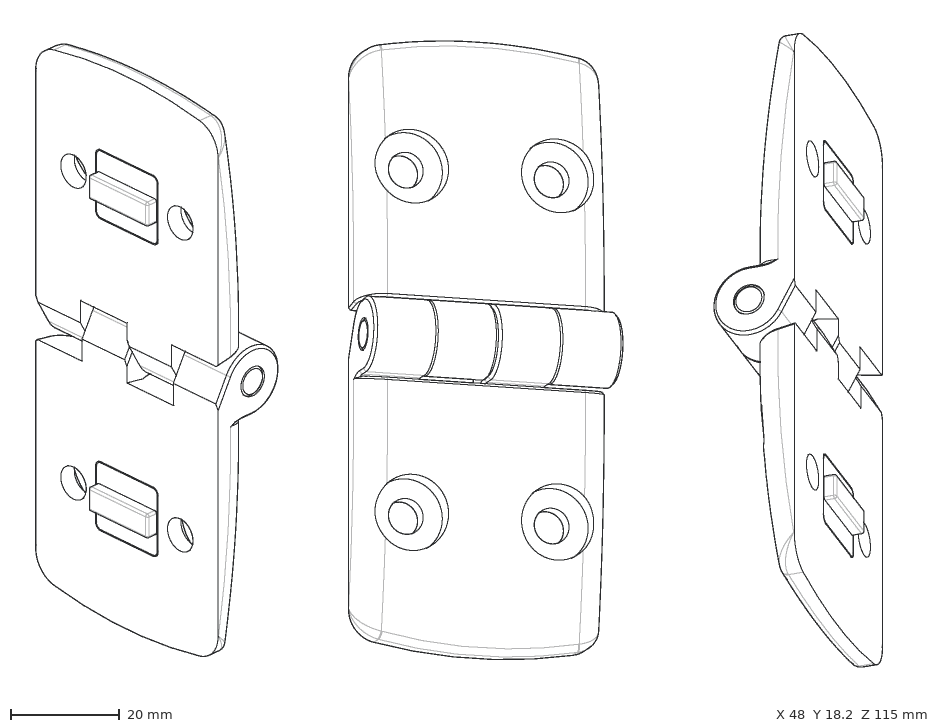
import cadquery as cq
import math


LENGTH = 115.0
WIDTH = 48.0
END_DROP = 2.9
CORNER_RADIUS = 6.0

THICKNESS = 8.2
CROWN_RADIUS = 250.7
CROWN_Z = 10.8
CROWN_SWEEP = 30.0
SIDE_ROUND = 5.0
END_ROUND = 1.5

KNUCKLE_COUNT = 4
KNUCKLE_RADIUS = 7.0
KNUCKLE_CHAMFER = 0.6
KNUCKLE_CLEARANCE = 0.2
PIN_Y = 8.9
PIN_RADIUS = 3.0
PIN_CHAMFER = 0.5
WEB_Z = 1.6
GAP_Z = 6.2
GAP_SLOPE = 0.17
GAP_CHAMFER = 0.5
ROOT_Z = 8.0
NECK_Y = 6.5

FIXING_Z = 32.4
HOLE_X = 14.0
HOLE_DIAMETER = 6.7
COUNTERBORE_DIAMETER = 14.0
COUNTERBORE_FLOOR = 3.5

PLUG_WIDTH = 16.0
PLUG_HEIGHT = 13.9
PLUG_DEPTH = 2.3
PLUG_CORNER = 1.2
PLUG_CLEARANCE = 0.2
TAB_WIDTH = 15.5
TAB_HEIGHT = 5.0
TAB_REACH = 2.3
TAB_ROUND = 0.5

HALF_LENGTH = LENGTH / 2
HALF_WIDTH = WIDTH / 2
KNUCKLE_PITCH = WIDTH / KNUCKLE_COUNT
REACH = 2 * THICKNESS
EXTRA = 1.2
LEAF_TURNS = (0, 180)


def crowned_bar():
    """Long bar with the rounded cross-section carried around the crown arc."""
    depth = 2 * REACH
    arc_centre_y = THICKNESS - CROWN_RADIUS
    return (
        cq.Workplane("XY", origin=(0, THICKNESS, CROWN_Z))
        .moveTo(-HALF_WIDTH, -depth)
        .lineTo(HALF_WIDTH, -depth)
        .lineTo(HALF_WIDTH, -SIDE_ROUND)
        .radiusArc((HALF_WIDTH - SIDE_ROUND, 0), -SIDE_ROUND)
        .lineTo(SIDE_ROUND - HALF_WIDTH, 0)
        .radiusArc((-HALF_WIDTH, -SIDE_ROUND), -SIDE_ROUND)
        .close()
        .revolve(CROWN_SWEEP, (-1.2, -CROWN_RADIUS, 0), (1.2, -CROWN_RADIUS, 0))
        .rotate((-1.2, arc_centre_y, CROWN_Z), (1.2, arc_centre_y, CROWN_Z), -CROWN_SWEEP / 2)
    )


def plan_outline():
    """Outline of the plate on the mounting face, with arched end and rounded corners."""
    side_z = HALF_LENGTH - END_DROP
    return (
        cq.Workplane("XZ")
        .moveTo(-HALF_WIDTH, 0)
        .lineTo(-HALF_WIDTH, side_z)
        .threePointArc((0, HALF_LENGTH), (HALF_WIDTH, side_z))
        .lineTo(HALF_WIDTH, 0)
        .close()
        .extrude(-REACH)
        .edges("|Y").edges(">Z")
        .fillet(CORNER_RADIUS)
    )


def plate():
    """Crowned plate, ending in the sloped face that clears the other leaf's knuckles."""
    body = plan_outline().intersect(crowned_bar())
    below_gap = (
        cq.Workplane("YZ", origin=(-HALF_WIDTH - EXTRA, 0, 0))
        .polyline([
            (-EXTRA, -EXTRA),
            (-EXTRA, GAP_Z - GAP_SLOPE * EXTRA),
            (REACH, GAP_Z + GAP_SLOPE * REACH),
            (REACH, -EXTRA),
        ])
        .close()
        .extrude(WIDTH + 2 * EXTRA)
    )
    body = body.cut(below_gap)
    body = body.faces("<X").edges("<Z").chamfer(GAP_CHAMFER)
    end_rim = cq.selectors.BoxSelector(
        (-WIDTH, EXTRA, HALF_LENGTH - CORNER_RADIUS),
        (WIDTH, THICKNESS, LENGTH),
    )
    return body.edges(end_rim).edges("not |Y").fillet(END_ROUND)


def knuckle(left_x):
    """One barrel and its web, chamfered around the barrel on the left side.

    The web's lower face runs from the mounting face tangentially into the barrel.
    """
    width = KNUCKLE_PITCH - KNUCKLE_CLEARANCE
    centre_distance = math.hypot(PIN_Y, WEB_Z)
    tangent_length = math.sqrt(centre_distance**2 - KNUCKLE_RADIUS**2)
    angle = math.atan2(WEB_Z, PIN_Y) + math.asin(KNUCKLE_RADIUS / centre_distance)
    tangent_y = tangent_length * math.cos(angle)
    tangent_z = WEB_Z - tangent_length * math.sin(angle)
    return (
        cq.Workplane("YZ", origin=(left_x, 0, 0))
        .moveTo(0, WEB_Z)
        .lineTo(tangent_y, tangent_z)
        .threePointArc((PIN_Y + KNUCKLE_RADIUS, 0), (PIN_Y, KNUCKLE_RADIUS))
        .lineTo(NECK_Y, KNUCKLE_RADIUS)
        .tangentArcPoint((THICKNESS - SIDE_ROUND, ROOT_Z), relative=False)
        .lineTo(0, ROOT_Z)
        .close()
        .extrude(width)
        .faces("<X").edges("%CIRCLE")
        .chamfer(KNUCKLE_CHAMFER)
    )


def plug_block(width, height, corner):
    """Block set into the mounting face, with rounded corners."""
    return (
        cq.Workplane("XZ", origin=(0, 0, FIXING_Z))
        .rect(width, height)
        .extrude(-PLUG_DEPTH)
        .edges("|Y")
        .fillet(corner)
    )


def pin_rod():
    """Cylinder as long as the leaf is wide, on the hinge axis."""
    return (
        cq.Workplane("YZ", origin=(-HALF_WIDTH, PIN_Y, 0))
        .circle(PIN_RADIUS)
        .extrude(WIDTH)
    )


def screw_bores(diameter, start_y):
    """Pair of cylinders from the depth start_y out through the back of the leaf."""
    return (
        cq.Workplane("XZ", origin=(0, start_y, FIXING_Z))
        .pushPoints([(-HOLE_X, 0), (HOLE_X, 0)])
        .circle(diameter / 2)
        .extrude(-REACH)
    )


def make_leaf():
    """Upper leaf with its knuckles in the first and third places from the left."""
    body = plate()
    for place in range(0, KNUCKLE_COUNT, 2):
        body = body.union(knuckle(-HALF_WIDTH + place * KNUCKLE_PITCH))
    pocket = plug_block(
        PLUG_WIDTH + 2 * PLUG_CLEARANCE,
        PLUG_HEIGHT + 2 * PLUG_CLEARANCE,
        PLUG_CORNER + PLUG_CLEARANCE,
    )
    return (
        body.cut(pin_rod())
        .cut(screw_bores(HOLE_DIAMETER, -EXTRA))
        .cut(screw_bores(COUNTERBORE_DIAMETER, COUNTERBORE_FLOOR))
        .cut(pocket)
    )


def make_plug():
    """Plug filling the pocket, with a rounded tab standing out of the mounting face."""
    tab = (
        cq.Workplane("XZ", origin=(0, 0, FIXING_Z))
        .rect(TAB_WIDTH, TAB_HEIGHT)
        .extrude(TAB_REACH)
        .edges("|Y or <Y")
        .fillet(TAB_ROUND)
    )
    return plug_block(PLUG_WIDTH, PLUG_HEIGHT, PLUG_CORNER).union(tab)


def make_pin():
    """Pin through all the knuckles, flush and chamfered at both ends."""
    return pin_rod().faces("<X or >X").edges().chamfer(PIN_CHAMFER)


def turned_copies(body):
    """The upper body and its copy in the lower leaf, each a separate solid."""
    solids = []
    for turn in LEAF_TURNS:
        solids.append(body.rotate((0, 0, 0), (0, 1, 0), turn).solids().val())
    return solids


leaves = turned_copies(make_leaf())
plugs = turned_copies(make_plug())
pin = make_pin()

result = cq.Compound.makeCompound([*leaves, *plugs, pin.solids().val()])